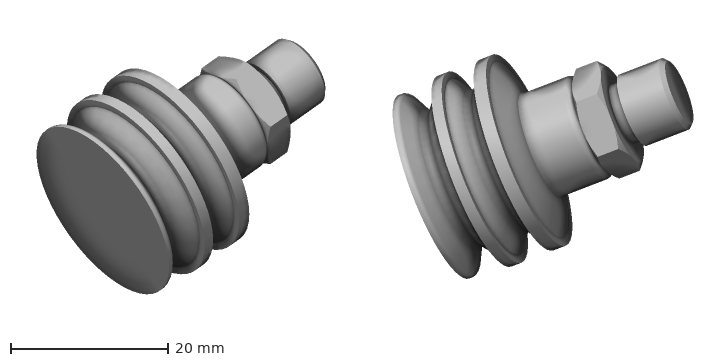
import cadquery as cq
import math


TOTAL_LENGTH = 34.35
LIP_EDGE_Y = 0.45
LIP_CONE_Y = 0.93
FRONT_VALLEY_START_Y = 2.35
FRONT_VALLEY_END_Y = 3.7
FRONT_RING_START_Y = 5.67
FRONT_RING_END_Y = 7.1
REAR_VALLEY_START_Y = 8.75
REAR_VALLEY_END_Y = 9.9
REAR_RING_START_Y = 11.58
REAR_RING_END_Y = 13.33
SHOULDER_END_Y = 15.1
COLLAR_START_Y = 15.55
HEX_START_Y = 22.33
HEX_END_Y = 26.38
THREAD_START_Y = 27.85

LIP_RADIUS = 25.0 / 2
LIP_CONE_RADIUS = 12.15
LIP_ROUND_BULGE = 0.07
RING_RADIUS = 26.0 / 2
RING_ROOT_RADIUS = 12.0
FRONT_VALLEY_RADIUS = 9.38
FRONT_VALLEY_EDGE_RADIUS = 9.72
REAR_VALLEY_RADIUS = 9.72
REAR_VALLEY_EDGE_RADIUS = 9.95
SHOULDER_RADIUS = 7.18
SHOULDER_ROUND_BULGE = 0.05

COLLAR_RADIUS = 14.0 / 2
COLLAR_ROUND = 0.95
HEX_ACROSS_FLATS = 13.0
HEX_CHAMFER_ANGLE = 30.0
NECK_RADIUS = 8.0 / 2
THREAD_RADIUS = 9.72 / 2
THREAD_CHAMFER = 0.6


def revolve_about_y(profile):
    return profile.close().revolve(360, (0, 0, 0), (0, 1, 0))


def add_valley(profile, start_y, end_y, edge_radius, floor_radius):
    """Cone down to a rounded valley floor between two folds."""
    return profile.lineTo(edge_radius, start_y).threePointArc(
        (floor_radius, (start_y + end_y) / 2), (edge_radius, end_y)
    )


def add_ring(profile, start_y, end_y):
    """Cone up to a flat-sided ring, ending at its far root."""
    return (
        profile.lineTo(RING_ROOT_RADIUS, start_y)
        .lineTo(RING_RADIUS, start_y)
        .lineTo(RING_RADIUS, end_y)
        .lineTo(RING_ROOT_RADIUS, end_y)
    )


def make_bellows():
    profile = cq.Workplane("XY").lineTo(LIP_RADIUS, 0).lineTo(LIP_RADIUS, LIP_EDGE_Y)
    profile = profile.sagittaArc((LIP_CONE_RADIUS, LIP_CONE_Y), -LIP_ROUND_BULGE)
    profile = add_valley(
        profile, FRONT_VALLEY_START_Y, FRONT_VALLEY_END_Y,
        FRONT_VALLEY_EDGE_RADIUS, FRONT_VALLEY_RADIUS,
    )
    profile = add_ring(profile, FRONT_RING_START_Y, FRONT_RING_END_Y)
    profile = add_valley(
        profile, REAR_VALLEY_START_Y, REAR_VALLEY_END_Y,
        REAR_VALLEY_EDGE_RADIUS, REAR_VALLEY_RADIUS,
    )
    profile = add_ring(profile, REAR_RING_START_Y, REAR_RING_END_Y)
    profile = (
        profile.lineTo(SHOULDER_RADIUS, SHOULDER_END_Y)
        .sagittaArc((COLLAR_RADIUS, COLLAR_START_Y), SHOULDER_ROUND_BULGE)
        .lineTo(COLLAR_RADIUS, HEX_START_Y - COLLAR_ROUND)
        .radiusArc((COLLAR_RADIUS - COLLAR_ROUND, HEX_START_Y), -COLLAR_ROUND)
        .lineTo(0, HEX_START_Y)
    )
    return revolve_about_y(profile)


def make_hex():
    """Hexagon with flats facing +/-X and its corners chamfered at both ends."""
    flat_radius = HEX_ACROSS_FLATS / 2
    corner_radius = flat_radius / math.cos(math.radians(30))
    chamfer_length = (corner_radius - flat_radius) * math.tan(math.radians(HEX_CHAMFER_ANGLE))
    prism = (
        cq.Workplane("XZ", origin=(0, HEX_START_Y, 0))
        .transformed(rotate=(0, 0, 30))
        .polygon(6, 2 * corner_radius)
        .extrude(HEX_START_Y - HEX_END_Y)
    )
    envelope = (
        cq.Workplane("XY")
        .moveTo(0, HEX_START_Y)
        .lineTo(flat_radius, HEX_START_Y)
        .lineTo(corner_radius, HEX_START_Y + chamfer_length)
        .lineTo(corner_radius, HEX_END_Y - chamfer_length)
        .lineTo(flat_radius, HEX_END_Y)
        .lineTo(0, HEX_END_Y)
    )
    return prism.intersect(revolve_about_y(envelope))


def make_threaded_end():
    profile = (
        cq.Workplane("XY")
        .moveTo(0, HEX_END_Y)
        .lineTo(NECK_RADIUS, HEX_END_Y)
        .lineTo(NECK_RADIUS, THREAD_START_Y)
        .lineTo(THREAD_RADIUS, THREAD_START_Y)
        .lineTo(THREAD_RADIUS, TOTAL_LENGTH - THREAD_CHAMFER)
        .lineTo(THREAD_RADIUS - THREAD_CHAMFER, TOTAL_LENGTH)
        .lineTo(0, TOTAL_LENGTH)
    )
    return revolve_about_y(profile)


result = make_bellows().union(make_hex()).union(make_threaded_end())